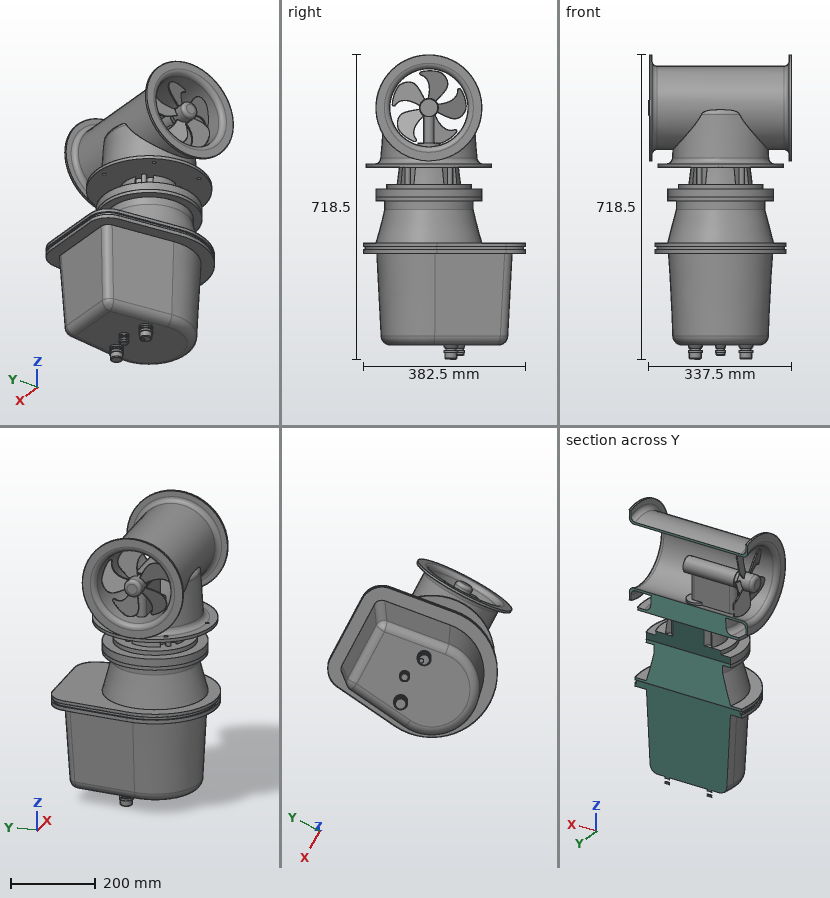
import cadquery as cq
import math


TUNNEL_Z = 593.5
TUNNEL_LENGTH = 335.0
TUNNEL_OUTER_R = 98.5
TUNNEL_BORE_R = 92.0
END_FLANGE_R = 125.0
END_FLANGE_THICK = 6.0
FLANGE_ROOT_R = 12.0
MOUTH_R = 13.0

SADDLE_BASE_Z = 453.0
SADDLE_FLANGE_R = 148.0
SADDLE_FLANGE_TOP_Z = 461.0
SADDLE_ROOT_R = 14.5
SADDLE_FOOT_R = 113.5
SADDLE_SHOULDER_R = 107.0
SADDLE_SHOULDER_Z = 578.0
SADDLE_CROWN_R = 12.0
SADDLE_HOLES = 6
SADDLE_HOLE_DIA = 8.5
SADDLE_HOLE_CIRCLE_R = 129.0

PLINTH_DIA = 52.0
PLINTH_TOP_Z = 510.0
STEM_WIDTH = 24.5
STEM_FRONT_X = -112.0
GEARBOX_DIA = 42.0
DRUM_FOOT_R = 75.0
DRUM_TOP_R = 70.0
DRUM_FOOT_Z = 413.0
DRUM_RECESSES = 4
DRUM_RECESS_WIDTH = 43.0
DRUM_RECESS_FLOOR_R = 57.5
BOLT_POST_DIA = 13.0
BOLT_POST_R = 70.5
STEP_R = 100.0
STEP_FOOT_Z = 402.0
CLAMP_R = 125.0
CLAMP_FOOT_Z = 383.0

CLAMP_PLATE_FOOT_Z = 374.0
NECK_R = 104.0
NECK_FOOT_Z = 354.0
SKIRT_FOOT_R = 125.0
COVER_FLANGE_TOP_Z = 274.5
COVER_FLANGE_FOOT_Z = 266.5

SIDE_TAPER = 7.0
RIM_FRONT_R = 154.5
RIM_BACK_Y = 228.0
RIM_CORNER_R = 52.5
LIP_INSET = 4.0
RIM_TOP_Z = 259.5
RIM_FOOT_Z = 250.0
BOX_FRONT_R = 123.0
BOX_BACK_Y = 196.0
BOX_CORNER_R = 20.0
BOX_DRAFT = 3.0
BOX_FOOT_Z = 34.5
BOX_FOOT_ROUND = 23.0

LARGE_GLAND_DIA = 29.0
LARGE_GLAND_RING_DIA = 33.0
LARGE_GLAND_NECK_DIA = 24.0
LARGE_GLAND_FOOT_Z = 1.5
LARGE_GLAND_X = 59.5
LARGE_GLAND_Y = 52.0
SMALL_GLAND_DIA = 21.0
SMALL_GLAND_RING_DIA = 24.0
SMALL_GLAND_NECK_DIA = 18.0
SMALL_GLAND_FOOT_Z = 10.0
SMALL_GLAND_Y = 72.5
GLAND_COLLAR_HEIGHT = 4.0
GLAND_NECK_HEIGHT = 4.0
GLAND_RING_TOP_Z = 22.0
GLAND_RING_HEIGHT = 6.0
GLAND_CHAMFER = 2.0
CABLE_DIA = 11.0
CABLE_OFFSET = 5.0

HUB_TIP_X = -170.0
NOSE_END_X = -127.0
HUB_END_X = -118.0
NOSE_DIA = 44.0
HUB_DIA = 44.5
HUB_NOSE_ROUND = 9.0
BLADES = 5
BLADE_PITCH = 18.0
BLADE_RAKE = 11.0
BLADE_THICK = 3.5
BLADE_X = -139.5
BLADE_CLEAR = 215.5
BLADE_LEADING_ROOT = (15.0, 14.5)
BLADE_LEADING_EDGE = [(35.0, 36.0), (44.5, 54.5), (39.0, 73.0), (21.5, 85.5)]
BLADE_OUTER_MID = (0.0, 88.0)
BLADE_TIP_START = (-19.0, 85.0)
BLADE_TIP_MID = (-21.5, 81.0)
BLADE_TIP_END = (-20.0, 77.5)
BLADE_TRAILING_EDGE = [(-4.0, 66.0), (1.0, 49.5), (-4.0, 14.5)]

ROUND_MIDPOINT = 1 - math.sqrt(0.5)


def disc(radius, foot_z, top_z):
    return cq.Workplane("XY").workplane(offset=foot_z).circle(radius).extrude(top_z - foot_z)


def cone(foot_r, top_r, foot_z, top_z):
    profile = [(0, foot_z), (foot_r, foot_z), (top_r, top_z), (0, top_z)]
    return cq.Workplane("XZ").polyline(profile).close().revolve(360, (0, 0), (0, 1))


def along_x(radius, start_x, end_x):
    start = cq.Workplane("YZ", origin=(start_x, 0, TUNNEL_Z))
    return start.circle(radius).extrude(end_x - start_x)


def plinth_column():
    return disc(PLINTH_DIA / 2, SADDLE_BASE_Z, PLINTH_TOP_Z)


def tunnel_tube():
    half = TUNNEL_LENGTH / 2
    flange_back = half - END_FLANGE_THICK
    root = FLANGE_ROOT_R * ROUND_MIDPOINT
    root_r = TUNNEL_OUTER_R + FLANGE_ROOT_R
    return (
        cq.Workplane("XY", origin=(0, 0, TUNNEL_Z))
        .moveTo(-half, 0)
        .lineTo(-half, END_FLANGE_R)
        .lineTo(-flange_back, END_FLANGE_R)
        .lineTo(-flange_back, root_r)
        .threePointArc(
            (root - flange_back, TUNNEL_OUTER_R + root),
            (FLANGE_ROOT_R - flange_back, TUNNEL_OUTER_R),
        )
        .lineTo(flange_back - FLANGE_ROOT_R, TUNNEL_OUTER_R)
        .threePointArc((flange_back - root, TUNNEL_OUTER_R + root), (flange_back, root_r))
        .lineTo(flange_back, END_FLANGE_R)
        .lineTo(half, END_FLANGE_R)
        .lineTo(half, 0)
        .close()
        .revolve(360, (0, 0), (1, 0))
    )


def tunnel_bore():
    half = TUNNEL_LENGTH / 2
    bend = MOUTH_R * ROUND_MIDPOINT
    mouth_r = TUNNEL_BORE_R + MOUTH_R
    return (
        cq.Workplane("XY", origin=(0, 0, TUNNEL_Z))
        .moveTo(-half, 0)
        .lineTo(-half, mouth_r)
        .threePointArc((bend - half, TUNNEL_BORE_R + bend), (MOUTH_R - half, TUNNEL_BORE_R))
        .lineTo(half - MOUTH_R, TUNNEL_BORE_R)
        .threePointArc((half - bend, TUNNEL_BORE_R + bend), (half, mouth_r))
        .lineTo(half, 0)
        .close()
        .revolve(360, (0, 0), (1, 0))
    )


def saddle():
    bend = SADDLE_ROOT_R * ROUND_MIDPOINT
    crown_bend = SADDLE_CROWN_R * ROUND_MIDPOINT
    crown_z = SADDLE_SHOULDER_Z + SADDLE_CROWN_R
    body = (
        cq.Workplane("XZ")
        .moveTo(0, SADDLE_BASE_Z)
        .lineTo(SADDLE_FLANGE_R, SADDLE_BASE_Z)
        .lineTo(SADDLE_FLANGE_R, SADDLE_FLANGE_TOP_Z)
        .lineTo(SADDLE_FOOT_R + SADDLE_ROOT_R, SADDLE_FLANGE_TOP_Z)
        .threePointArc(
            (SADDLE_FOOT_R + bend, SADDLE_FLANGE_TOP_Z + bend),
            (SADDLE_FOOT_R, SADDLE_FLANGE_TOP_Z + SADDLE_ROOT_R),
        )
        .lineTo(SADDLE_SHOULDER_R, SADDLE_SHOULDER_Z)
        .threePointArc(
            (SADDLE_SHOULDER_R - crown_bend, crown_z - crown_bend),
            (SADDLE_SHOULDER_R - SADDLE_CROWN_R, crown_z),
        )
        .lineTo(0, crown_z)
        .close()
        .revolve(360, (0, 0), (0, 1))
    )
    hole_top = SADDLE_FLANGE_TOP_Z + SADDLE_ROOT_R
    holes = (
        cq.Workplane("XY")
        .workplane(offset=SADDLE_BASE_Z)
        .polarArray(SADDLE_HOLE_CIRCLE_R, 90, 360, SADDLE_HOLES)
        .circle(SADDLE_HOLE_DIA / 2)
        .extrude(hole_top - SADDLE_BASE_Z)
    )
    return body.cut(holes)


def make_tunnel():
    return tunnel_tube().union(saddle()).cut(tunnel_bore()).cut(plinth_column())


def drum():
    body = cone(DRUM_FOOT_R, DRUM_TOP_R, DRUM_FOOT_Z, SADDLE_BASE_Z)
    height = SADDLE_BASE_Z - DRUM_FOOT_Z
    recess_depth = DRUM_FOOT_R - DRUM_RECESS_FLOOR_R
    for i in range(DRUM_RECESSES):
        angle = 45 + i * 360 / DRUM_RECESSES
        recess = (
            cq.Workplane("XY")
            .box(recess_depth, DRUM_RECESS_WIDTH, height, centered=(False, True, False))
            .translate((DRUM_RECESS_FLOOR_R, 0, DRUM_FOOT_Z))
        )
        post = disc(BOLT_POST_DIA / 2, DRUM_FOOT_Z, SADDLE_BASE_Z).translate((BOLT_POST_R, 0, 0))
        body = body.cut(recess.rotate((0, 0, 0), (0, 0, 1), angle))
        body = body.union(post.rotate((0, 0, 0), (0, 0, 1), angle))
    return body


def stem():
    """Streamlined stem from the bore and the plinth up to the gearbox."""
    nose_x = STEM_FRONT_X + STEM_WIDTH / 2
    bore_floor_z = TUNNEL_Z - TUNNEL_BORE_R
    blank = (
        cq.Workplane("XY", origin=(nose_x / 2, 0, bore_floor_z))
        .slot2D(STEM_WIDTH - nose_x, STEM_WIDTH)
        .extrude(TUNNEL_BORE_R)
    )
    return blank.intersect(tunnel_bore())


def make_gear_leg():
    clamp = disc(CLAMP_R, CLAMP_FOOT_Z, STEP_FOOT_Z)
    step = disc(STEP_R, STEP_FOOT_Z, DRUM_FOOT_Z)
    gearbox_end_x = PLINTH_DIA / 2
    gearbox = along_x(GEARBOX_DIA / 2, HUB_END_X, gearbox_end_x)
    leg = clamp
    for piece in (step, drum(), plinth_column(), stem(), gearbox):
        leg = leg.union(piece)
    return leg


def plan_outline(front_r, back_y, corner_r, foot_z, height, draft=0.0):
    """Plate with a round front, two straight sides that lean inward and a straight back."""
    sine = math.sin(math.radians(SIDE_TAPER))
    cosine = math.cos(math.radians(SIDE_TAPER))
    side_x = front_r * cosine
    side_y = front_r * sine
    back_x = (front_r - back_y * sine) / cosine
    plate = (
        cq.Workplane("XY")
        .workplane(offset=foot_z + height)
        .moveTo(-side_x, side_y)
        .threePointArc((0, -front_r), (side_x, side_y))
        .lineTo(back_x, back_y)
        .lineTo(-back_x, back_y)
        .close()
        .extrude(-height, taper=draft)
    )
    corner_zone = cq.selectors.BoxSelector(
        (-front_r, back_y / 2, foot_z + height / 4),
        (front_r, back_y + corner_r, foot_z + height * 3 / 4),
    )
    return plate.edges(corner_zone).fillet(corner_r)


def make_motor_cover():
    cover = disc(CLAMP_R, CLAMP_PLATE_FOOT_Z, CLAMP_FOOT_Z)
    cover = cover.union(disc(NECK_R, NECK_FOOT_Z, CLAMP_PLATE_FOOT_Z))
    cover = cover.union(cone(SKIRT_FOOT_R, NECK_R, COVER_FLANGE_TOP_Z, NECK_FOOT_Z))
    flange_height = COVER_FLANGE_TOP_Z - COVER_FLANGE_FOOT_Z
    flange = plan_outline(RIM_FRONT_R, RIM_BACK_Y, RIM_CORNER_R, COVER_FLANGE_FOOT_Z, flange_height)
    return cover.union(flange)


def gland(x, y, body_dia, ring_dia, neck_dia, foot_z):
    neck_top_z = GLAND_RING_TOP_Z + GLAND_NECK_HEIGHT
    tip = disc(body_dia / 2, foot_z, GLAND_RING_TOP_Z).faces("<Z").chamfer(GLAND_CHAMFER)
    ring = disc(ring_dia / 2, GLAND_RING_TOP_Z - GLAND_RING_HEIGHT, GLAND_RING_TOP_Z)
    neck = disc(neck_dia / 2, GLAND_RING_TOP_Z, neck_top_z)
    shoulder = disc(body_dia / 2, neck_top_z, BOX_FOOT_Z)
    collar = disc(ring_dia / 2, BOX_FOOT_Z - GLAND_COLLAR_HEIGHT, BOX_FOOT_Z)
    whole = tip.union(ring).union(neck).union(shoulder).union(collar)
    return whole.translate((x, y, 0))


def make_motor_box():
    walls_height = RIM_FOOT_Z - BOX_FOOT_Z
    box = plan_outline(BOX_FRONT_R, BOX_BACK_Y, BOX_CORNER_R, BOX_FOOT_Z, walls_height, BOX_DRAFT)
    box = box.faces("<Z").edges().fillet(BOX_FOOT_ROUND)
    rim_height = RIM_TOP_Z - RIM_FOOT_Z
    box = box.union(plan_outline(RIM_FRONT_R, RIM_BACK_Y, RIM_CORNER_R, RIM_FOOT_Z, rim_height))
    lip = plan_outline(
        RIM_FRONT_R - LIP_INSET,
        RIM_BACK_Y - LIP_INSET,
        RIM_CORNER_R - LIP_INSET,
        RIM_TOP_Z,
        COVER_FLANGE_FOOT_Z - RIM_TOP_Z,
    )
    box = box.union(lip)
    for x in (-LARGE_GLAND_X, LARGE_GLAND_X):
        large_gland = gland(
            x,
            LARGE_GLAND_Y,
            LARGE_GLAND_DIA,
            LARGE_GLAND_RING_DIA,
            LARGE_GLAND_NECK_DIA,
            LARGE_GLAND_FOOT_Z,
        )
        box = box.union(large_gland)
    small_gland = gland(
        0,
        SMALL_GLAND_Y,
        SMALL_GLAND_DIA,
        SMALL_GLAND_RING_DIA,
        SMALL_GLAND_NECK_DIA,
        SMALL_GLAND_FOOT_Z,
    )
    cable = disc(CABLE_DIA / 2, 0, LARGE_GLAND_FOOT_Z)
    cable = cable.translate((CABLE_OFFSET - LARGE_GLAND_X, LARGE_GLAND_Y + CABLE_OFFSET, 0))
    return box.union(small_gland).union(cable)


def blade():
    """Scimitar outline in the propeller plane, cut from a flat plate set at the pitch angle."""
    prism = (
        cq.Workplane("YZ", origin=(-BLADE_CLEAR / 2, 0, 0))
        .moveTo(*BLADE_LEADING_ROOT)
        .spline(BLADE_LEADING_EDGE, includeCurrent=True)
        .threePointArc(BLADE_OUTER_MID, BLADE_TIP_START)
        .threePointArc(BLADE_TIP_MID, BLADE_TIP_END)
        .spline(BLADE_TRAILING_EDGE, includeCurrent=True)
        .close()
        .extrude(BLADE_CLEAR)
    )
    plate = (
        cq.Workplane("XY")
        .box(BLADE_THICK, BLADE_CLEAR, BLADE_CLEAR)
        .rotate((0, 0, 0), (0, 0, 1), BLADE_PITCH)
        .rotate((0, 0, 0), (0, 1, 0), BLADE_RAKE)
    )
    return prism.intersect(plate).translate((BLADE_X, 0, TUNNEL_Z))


def make_propeller():
    nose = along_x(NOSE_DIA / 2, HUB_TIP_X, NOSE_END_X).faces("<X").edges().fillet(HUB_NOSE_ROUND)
    propeller = nose.union(along_x(HUB_DIA / 2, NOSE_END_X, HUB_END_X))
    for i in range(BLADES):
        angle = i * 360 / BLADES
        turned = blade().rotate((0, 0, TUNNEL_Z), (1, 0, TUNNEL_Z), angle)
        propeller = propeller.union(turned)
    return propeller


tunnel = make_tunnel()
propeller = make_propeller()
gear_leg = make_gear_leg()
motor_cover = make_motor_cover()
motor_box = make_motor_box()

result = cq.Compound.makeCompound(
    [
        *tunnel.solids().vals(),
        *propeller.solids().vals(),
        *gear_leg.solids().vals(),
        *motor_cover.solids().vals(),
        *motor_box.solids().vals(),
    ]
)